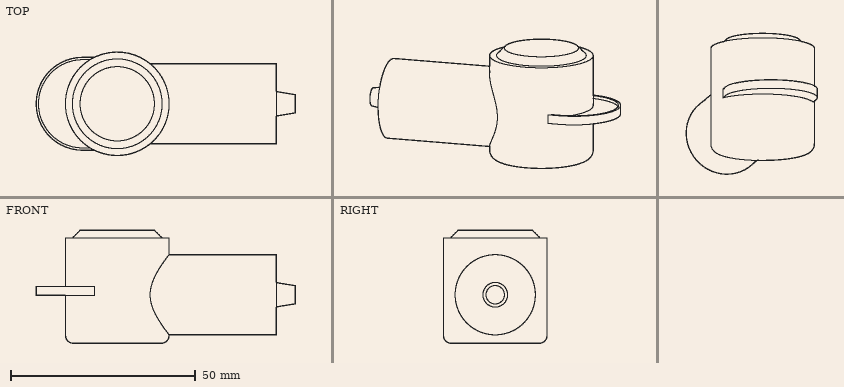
import cadquery as cq

body_radius = 14.09
shoulder_height = 28.63
base_fillet = 2.1

cap_base_radius = 12.2
cap_height = 2.1
cap_top_radius = cap_base_radius - cap_height

tube_radius = 10.9
tube_axis_height = 13.2
tube_end_x = 43.2

tip_base_radius = 3.35
tip_end_radius = 2.5
tip_length = 5.2

tab_radius = 12.65
tab_reach = 22.05
tab_centre_x = tab_radius - tab_reach
tab_bottom = 13.05
tab_thickness = 2.4
tab_rim_width = 0.65
tab_recess_depth = 0.8
tab_side_end_x = -(body_radius**2 - tab_radius**2) ** 0.5


def make_body():
    """Cylinder with a rounded bottom edge and a conical cap."""
    cylinder = cq.Workplane("XY").circle(body_radius).extrude(shoulder_height)
    cylinder = cylinder.faces("<Z").edges().fillet(base_fillet)
    cap = (
        cq.Workplane("XY", origin=(0, 0, shoulder_height))
        .circle(cap_base_radius)
        .workplane(offset=cap_height)
        .circle(cap_top_radius)
        .loft()
    )
    return cylinder.union(cap)


def make_tube():
    """Tube running from inside the body out to its flat end."""
    return cq.Workplane("YZ", origin=(0, 0, tube_axis_height)).circle(tube_radius).extrude(tube_end_x)


def make_tip():
    """Cone frustum centred on the end of the tube."""
    return (
        cq.Workplane("YZ", origin=(tube_end_x, 0, tube_axis_height))
        .circle(tip_base_radius)
        .workplane(offset=tip_length)
        .circle(tip_end_radius)
        .loft()
    )


def tab_plate(radius, bottom, thickness):
    """Plate with a half-round end, closed off where the tab meets the body."""
    return (
        cq.Workplane("XY", origin=(0, 0, bottom))
        .moveTo(tab_side_end_x, radius)
        .lineTo(tab_centre_x, radius)
        .threePointArc((tab_centre_x - radius, 0), (tab_centre_x, -radius))
        .lineTo(tab_side_end_x, -radius)
        .close()
        .extrude(thickness)
    )


def make_tab():
    """Tab plate with a shallow recess that leaves a narrow raised rim."""
    recess_floor = tab_bottom + tab_thickness - tab_recess_depth
    recess = tab_plate(tab_radius - tab_rim_width, recess_floor, tab_recess_depth)
    return tab_plate(tab_radius, tab_bottom, tab_thickness).cut(recess)


result = make_tab().union(make_body()).union(make_tube()).union(make_tip())